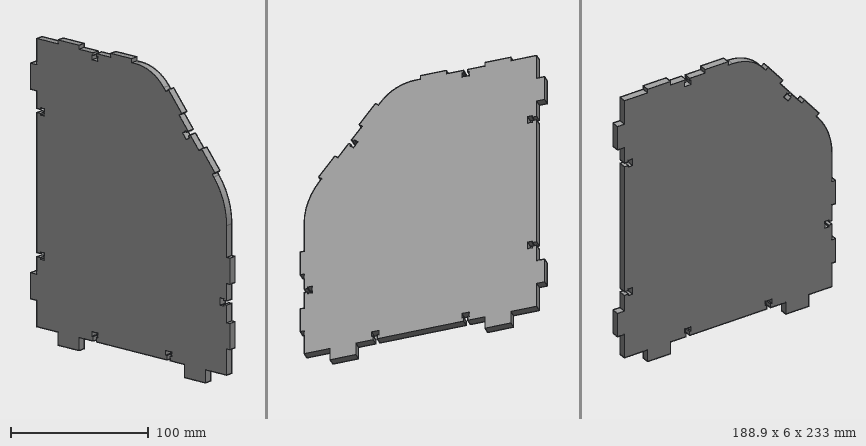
import cadquery as cq
import math

thickness = 6.0
body_width = 179.9
body_height = 220.0

tab_length = 20.0
left_tab_reach = 6.0
short_tab_reach = 3.0
foot_reach = 10.0
first_tab = 30.0
tab_pitch = 49.9

neck_width = 3.0
nut_width = 5.5
nut_thickness = 3.5
slot_offset = first_tab + tab_pitch / 2
deep_slot = 7.0
right_slot_depth = 6.3
shallow_slot = 5.5

slant_angle = math.radians(51)
top_radius = 34.3
side_radius = 55.0
top_arc_start = 93.7
slant_joint_middle = 38.2


def polar_point(origin, distance, angle):
    """Point (X, Z) at a distance and angle from an origin."""
    return (origin[0] + distance * math.cos(angle), origin[1] + distance * math.sin(angle))


slant_normal = math.pi / 2 - slant_angle
top_center = (top_arc_start, body_height - top_radius)
slant_start = polar_point(top_center, top_radius, slant_normal)
side_center_x = body_width - side_radius
slant_end_x = side_center_x + side_radius * math.cos(slant_normal)
slant_length = (slant_end_x - slant_start[0]) / math.cos(slant_angle)
slant_end = polar_point(slant_start, slant_length, -slant_angle)
side_center = (side_center_x, slant_end[1] - side_radius * math.sin(slant_normal))


def edge_plane(start, direction):
    """Plane on the front face: x runs along an edge, y points out of the plate.

    The start is (X, Z) and the direction is the edge angle in the XZ plane.
    """
    along = (math.cos(direction), 0, math.sin(direction))
    return cq.Plane(origin=(start[0], 0, start[1]), xDir=along, normal=(0, -1, 0))


def edge_block(plane, middle, length, low, high):
    """Block through the plate, centred along the edge, between two heights above the edge."""
    return (
        cq.Workplane(plane)
        .center(middle, (low + high) / 2)
        .rect(length, high - low)
        .extrude(-thickness)
    )


def make_body():
    return (
        cq.Workplane("XZ")
        .lineTo(body_width, 0)
        .lineTo(body_width, side_center[1])
        .threePointArc(polar_point(side_center, side_radius, slant_normal / 2), slant_end)
        .lineTo(*slant_start)
        .threePointArc(
            polar_point(top_center, top_radius, (slant_normal + math.pi / 2) / 2),
            (top_arc_start, body_height),
        )
        .lineTo(0, body_height)
        .close()
        .extrude(-thickness)
    )


def add_tabs(body, plane, spacing, reach):
    """Add two tabs, spread evenly about the plane's origin."""
    for middle in (-spacing / 2, spacing / 2):
        body = body.union(edge_block(plane, middle, tab_length, -reach, reach))
    return body


def cut_t_slot(body, plane, middle, depth):
    body = body.cut(edge_block(plane, middle, neck_width, -depth, depth))
    return body.cut(edge_block(plane, middle, nut_width, -depth, nut_thickness - depth))


def add_full_edge(body, plane, edge_length, reach):
    """Edge with a tab near each corner and a deep T-slot just inside each tab."""
    body = add_tabs(body, plane, edge_length - 2 * first_tab, reach)
    slot_distance = edge_length / 2 - slot_offset
    for middle in (-slot_distance, slot_distance):
        body = cut_t_slot(body, plane, middle, deep_slot)
    return body


def add_joint(body, plane, slot_depth):
    """Two short tabs with one T-slot midway between them."""
    body = add_tabs(body, plane, tab_pitch, short_tab_reach)
    return cut_t_slot(body, plane, 0, slot_depth)


left_edge = edge_plane((0, body_height / 2), math.pi / 2)
bottom_edge = edge_plane((body_width / 2, 0), math.pi)
top_joint = edge_plane((slot_offset, body_height), 0)
right_joint = edge_plane((body_width, slot_offset), -math.pi / 2)
slant_joint = edge_plane(polar_point(slant_start, slant_joint_middle, -slant_angle), -slant_angle)

result = make_body()
result = add_full_edge(result, left_edge, body_height, left_tab_reach)
result = add_full_edge(result, bottom_edge, body_width, foot_reach)
result = add_joint(result, top_joint, shallow_slot)
result = add_joint(result, right_joint, right_slot_depth)
result = add_joint(result, slant_joint, shallow_slot)